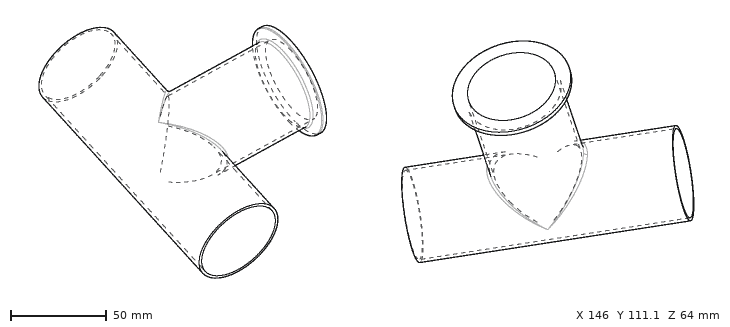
import cadquery as cq

run_length = 146.0
tube_diameter = 50.8
bore_diameter = 47.5
tube_radius = tube_diameter / 2
bore_radius = bore_diameter / 2

overall_depth = 111.1
branch_end = overall_depth - tube_radius
junction_radius = 1.8

flange_diameter = 64.0
flange_radius = flange_diameter / 2
ferrule_length = 12.4
rim_thickness = 2.8
flange_thickness = 5.1
rim_edge_radius = 0.6
neck_radius = 1.5


def run_cylinder(radius):
    return cq.Workplane("YZ").circle(radius).extrude(run_length / 2, both=True)


def branch_cylinder(radius):
    return cq.Workplane("XZ").circle(radius).extrude(-branch_end)


def tee_outside():
    """Two equal cylinders, with their mitred elliptical junction filleted."""
    tee = run_cylinder(tube_radius).union(branch_cylinder(tube_radius))
    return tee.edges("%ELLIPSE").fillet(junction_radius)


def ring_at(y):
    """Select the circular edges about the branch axis at height y."""
    tolerance = 0.01
    return cq.selectors.BoxSelector(
        (-tolerance, y - tolerance, -tolerance),
        (tolerance, y + tolerance, tolerance),
    )


def ferrule_outside():
    """Solid ferrule revolved about Y, rounded at the rim edge and the cone foot."""
    collar_start = branch_end - ferrule_length
    cone_foot = branch_end - flange_thickness
    rim_start = branch_end - rim_thickness
    ferrule = (
        cq.Workplane("XY")
        .moveTo(0, collar_start)
        .lineTo(tube_radius, collar_start)
        .lineTo(tube_radius, cone_foot)
        .lineTo(flange_radius, rim_start)
        .lineTo(flange_radius, branch_end)
        .lineTo(0, branch_end)
        .close()
        .revolve(360, (0, 0, 0), (0, 1, 0))
    )
    ferrule = ferrule.edges(ring_at(rim_start)).fillet(rim_edge_radius)
    return ferrule.edges(ring_at(cone_foot)).fillet(neck_radius)


outside = tee_outside().union(ferrule_outside())
result = outside.cut(run_cylinder(bore_radius)).cut(branch_cylinder(bore_radius))